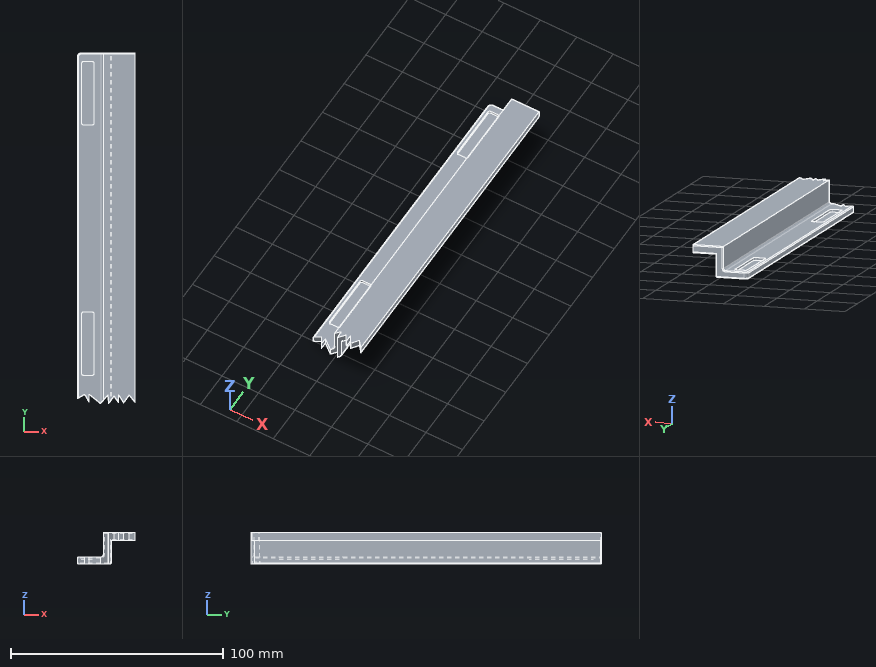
import cadquery as cq

width = 27.3
length = 165.4
height = 15.0

lower_thickness = 3.5
upper_thickness = 4.0
web_left = 12.2
web_thickness = 3.8
web_right = web_left + web_thickness
inner_fillet = 1.0
edge_chamfer = 0.5
corner_radius = 2.0

slot_width = 6.0
slot_length = 30.0
slot_depth = 1.3
slot_radius = 1.0
slot_center_x = 5.0
slot_centers_y = (28.3, 146.4)

broken_edge = [
    (0, 2.3), (3.5, 4.3), (5.5, 0.8), (5.6, 4.3), (10.9, 0), (14.4, 4.0), (14.7, 0),
    (17.4, 3.5), (19.3, 0.5), (19.5, 4.0), (21.8, 0.3), (24.5, 4.0), (width, 0.5),
]
clearance = 1.7


def z_rail():
    """Z section running along Y, with rounded corners and chamfered lower-flange and far-end edges."""
    section = [
        (0, 0),
        (web_right, 0),
        (web_right, height - upper_thickness),
        (width, height - upper_thickness),
        (width, height),
        (web_left, height),
        (web_left, lower_thickness),
        (0, lower_thickness),
    ]
    rail = cq.Workplane("XZ").polyline(section).close().extrude(-length)
    inner_corner = cq.selectors.NearestToPointSelector((web_left, length / 2, lower_thickness))
    rail = rail.edges(inner_corner).fillet(inner_fillet)
    rail = rail.edges("<X and >Y and |Z").fillet(corner_radius)
    lower_right = cq.selectors.NearestToPointSelector((web_right, length / 2, 0))
    rail = rail.edges(lower_right).chamfer(edge_chamfer)
    free_edges = rail.faces("<X").edges("|Y")
    end_edges = rail.faces(">Y").edges("not (|Z and >X)")
    return free_edges.add(end_edges).chamfer(edge_chamfer)


def slot(center_y):
    """Round-cornered cutter sunk into the top of the lower flange."""
    return (
        cq.Workplane("XY", origin=(slot_center_x, center_y, lower_thickness - slot_depth))
        .rect(slot_width, slot_length)
        .extrude(slot_depth)
        .edges("|Z")
        .fillet(slot_radius)
    )


def broken_end():
    """Material torn away in front of the jagged edge."""
    outline = [(0, -clearance), *broken_edge, (width, -clearance)]
    return cq.Workplane("XY").polyline(outline).close().extrude(height)


result = z_rail().cut(broken_end())
for slot_y in slot_centers_y:
    result = result.cut(slot(slot_y))